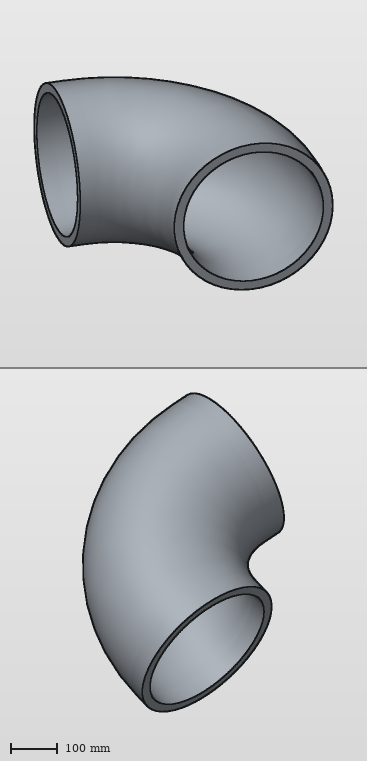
import cadquery as cq

overall_length = 517.5
outer_diameter = 355.0
bore_diameter = 312.5
collar_length = 40.0
bend_angle = 90

bend_radius = overall_length - outer_diameter / 2 - collar_length


def ring(plane):
    """Pipe cross-section centred on the given plane."""
    return cq.Workplane(plane).circle(outer_diameter / 2).circle(bore_diameter / 2)


inlet_plane = cq.Plane(origin=(0, collar_length, 0), xDir=(1, 0, 0), normal=(0, 1, 0))
inlet_collar = ring(inlet_plane).extrude(-collar_length)

bend = ring(inlet_plane).revolve(bend_angle, (bend_radius, 0, 0), (bend_radius, 1, 0))

outlet_plane = cq.Plane(
    origin=(bend_radius, collar_length + bend_radius, 0),
    xDir=(0, 1, 0),
    normal=(1, 0, 0),
)
outlet_collar = ring(outlet_plane).extrude(collar_length)

result = inlet_collar.union(bend).union(outlet_collar)